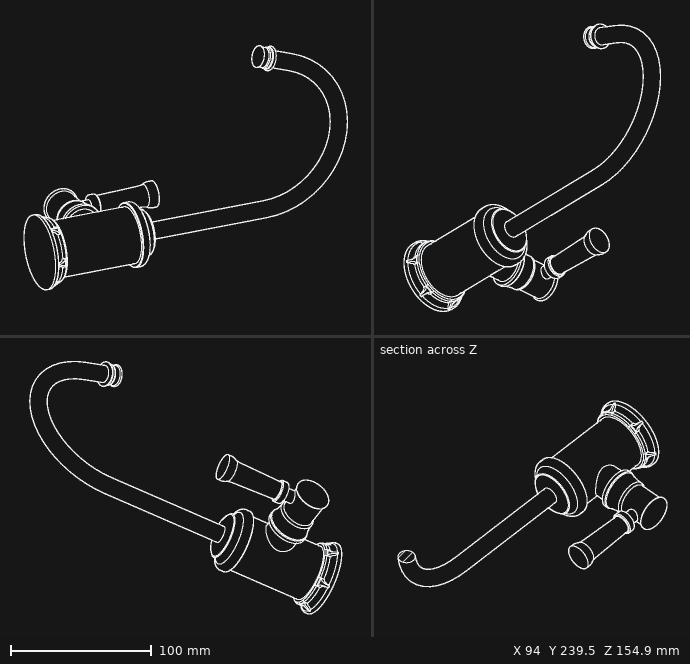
import cadquery as cq
import math


base_radius = 27.0
base_rounding = 1.0
base_thickness = 2.9
collar_top = 11.3
collar_radius = 23.5
collar_bevel = 1.2
collar_band_bottom = 7.5
collar_foot_radius = 25.9
cove_radius = 24.2
cove_top = 5.3
collar_top_radius = 22.5
body_radius = 20.5
cap_bottom = 70.0
cap_rim_radius = 23.5
cap_rim_top = 73.5
cap_rim_bevel = 0.5
cap_shoulder_radius = 19.9
cap_shoulder_height = 76.5
cap_throat_radius = 16.8
cap_throat_height = 81.6
cap_step_radius = 16.0
cap_step_height = 82.0
cap_face_radius = 12.7
cap_top = 83.8

overlap = 2.5

rib_count = 6
rib_tip_width = 1.7
rib_root_fillet = 2.5
rib_foot_inset = 0.2

tube_radius = 6.2
bend_start = 176.0
overall_depth = 239.5
bend_radius = overall_depth - tube_radius - bend_start
outlet_rise = 20.0
outlet_length = 27.8
aerator_length = 11.0
aerator_ring_radius = 8.9
aerator_neck_radius = 7.7
aerator_neck_end = 4.5
aerator_waist_radius = 7.2
aerator_lip_radius = 8.0
aerator_ring_width = 2.2
aerator_ring_rounding = 1.0
aerator_neck_slope = 0.7
aerator_waist_slope = 1.0
aerator_lip_width = 1.7

valve_height = 46.5
valve_end = 67.0
valve_neck_radius = 12.2
valve_collar_inner = 29.7
valve_collar_outer = 33.0
valve_collar_radius = 15.0
valve_collar_bevel = 0.7
taper_start_radius = 14.5
taper_end = 43.3
barrel_start = 45.2
barrel_radius = 11.7
barrel_bead_radius = 13.0
bead_width = 2.6
bead_rounding = 1.0

lever_offset = 56.3
stem_radius = 4.8
ring_radius = 8.1
ring_rounding = 1.5
ring_bevel = 0.7
ring_bottom = 64.5
ring_top = 70.1
grip_start_radius = 6.7
grip_end_radius = 7.7
grip_end = 104.0
flare_start = 107.5
flare_start_radius = 8.1
flare_top = 111.8
flare_radius = 9.5
lever_end = 114.7


def make_body():
    """Turned body: base plate, collar, cylinder and stepped cap."""
    profile = (
        cq.Workplane("XY")
        .lineTo(base_radius, 0)
        .lineTo(base_radius, base_thickness - base_rounding)
        .radiusArc((base_radius - base_rounding, base_thickness), -base_rounding)
        .lineTo(collar_foot_radius, base_thickness)
        .threePointArc((24.7, 4.0), (cove_radius, cove_top))
        .lineTo(collar_radius, collar_band_bottom)
        .lineTo(collar_radius, collar_top - collar_bevel)
        .lineTo(collar_top_radius, collar_top)
        .lineTo(body_radius, collar_top)
        .lineTo(body_radius, cap_bottom)
        .lineTo(cap_rim_radius - cap_rim_bevel, cap_bottom)
        .lineTo(cap_rim_radius, cap_bottom + cap_rim_bevel)
        .lineTo(cap_rim_radius, cap_rim_top)
        .threePointArc((22.5, 75.7), (cap_shoulder_radius, cap_shoulder_height))
        .threePointArc((17.7, 78.8), (cap_throat_radius, cap_throat_height))
        .lineTo(cap_step_radius, cap_step_height)
        .threePointArc((14.8, 83.3), (cap_face_radius, cap_top))
        .lineTo(0, cap_top)
        .close()
    )
    return profile.revolve(360, (0, 0), (0, 1))


def make_rib():
    """Sloping rib on the +X side of the collar, with filleted roots."""
    root = body_radius - overlap
    half_tip = rib_tip_width / 2
    half_root = half_tip + rib_root_fillet
    fillet_end = collar_radius + rib_root_fillet
    foot = base_radius - rib_foot_inset
    side = (
        cq.Workplane("XY")
        .moveTo(root, base_thickness / 2)
        .lineTo(foot, base_thickness / 2)
        .lineTo(foot, base_thickness)
        .lineTo(collar_top_radius, collar_top)
        .lineTo(root, collar_top)
        .close()
        .extrude(half_root, both=True)
    )
    section = (
        cq.Workplane("XZ")
        .moveTo(root, -half_root)
        .lineTo(collar_radius, -half_root)
        .radiusArc((fillet_end, -half_tip), rib_root_fillet)
        .lineTo(foot, -half_tip)
        .lineTo(foot, half_tip)
        .lineTo(fillet_end, half_tip)
        .radiusArc((collar_radius, half_root), rib_root_fillet)
        .lineTo(root, half_root)
        .close()
        .extrude(-collar_top)
    )
    return side.intersect(section)


def make_spout():
    """Tube rising from the cap, bent over and ending in a straight outlet."""
    rise = math.radians(outlet_rise)

    def on_bend(angle):
        """Point of the bend centreline, angle measured from +Z toward +Y."""
        return (bend_start + bend_radius * math.sin(angle), bend_radius * (1 + math.cos(angle)))

    bend_middle = on_bend((math.pi + rise) / 2)
    bend_end = on_bend(rise)
    heading = (-math.cos(rise), math.sin(rise))

    def on_outlet(distance):
        return tuple(p + distance * h for p, h in zip(bend_end, heading))

    aerator_start = outlet_length - aerator_length
    path = (
        cq.Workplane("YZ")
        .moveTo(cap_top - overlap, 0)
        .lineTo(bend_start, 0)
        .threePointArc(bend_middle, bend_end)
        .lineTo(*on_outlet(aerator_start + aerator_length / 2))
    )
    tube = cq.Workplane("XZ", origin=(0, cap_top - overlap, 0)).circle(tube_radius).sweep(path)

    outlet_plane = cq.Plane(
        origin=(0, *on_outlet(aerator_start)), xDir=(1, 0, 0), normal=(0, *heading)
    )
    waist_end = aerator_length - aerator_lip_width
    aerator = (
        cq.Workplane(outlet_plane.rotated((90, 0, 0)))
        .lineTo(aerator_ring_radius - aerator_ring_rounding, 0)
        .threePointArc(
            (aerator_ring_radius, aerator_ring_width / 2),
            (aerator_ring_radius - aerator_ring_rounding, aerator_ring_width),
        )
        .lineTo(aerator_neck_radius, aerator_ring_width + aerator_neck_slope)
        .lineTo(aerator_neck_radius, aerator_neck_end)
        .lineTo(aerator_waist_radius, aerator_neck_end + aerator_waist_slope)
        .lineTo(aerator_waist_radius, waist_end)
        .threePointArc(
            (aerator_lip_radius, waist_end + aerator_lip_width / 2),
            (aerator_waist_radius, aerator_length),
        )
        .lineTo(0, aerator_length)
        .close()
        .revolve(360, (0, 0), (0, 1))
    )
    return tube.union(aerator)


def make_valve():
    """Turned side valve: neck, collar, concave taper, barrel and end bead."""
    bead_start = valve_end - bead_width
    profile = (
        cq.Workplane("XY", origin=(0, valve_height, 0))
        .lineTo(0, valve_neck_radius)
        .lineTo(-valve_collar_inner, valve_neck_radius)
        .lineTo(-valve_collar_inner, valve_collar_radius)
        .lineTo(-valve_collar_outer + valve_collar_bevel, valve_collar_radius)
        .lineTo(-valve_collar_outer, taper_start_radius)
        .threePointArc((-37.8, 13.5), (-taper_end, barrel_bead_radius))
        .threePointArc((-44.8, 12.7), (-barrel_start, barrel_radius))
        .lineTo(-bead_start, barrel_radius)
        .lineTo(-bead_start, barrel_bead_radius - bead_rounding)
        .radiusArc((-bead_start - bead_rounding, barrel_bead_radius), -bead_rounding)
        .lineTo(-valve_end + bead_rounding, barrel_bead_radius)
        .radiusArc((-valve_end, barrel_bead_radius - bead_rounding), -bead_rounding)
        .lineTo(-valve_end, 0)
        .close()
    )
    return profile.revolve(360, (0, 0), (1, 0))


def make_lever():
    """Turned lever: stem, rounded ring, tapered grip and flared end."""
    profile = (
        cq.Workplane("XY", origin=(-lever_offset, 0, 0))
        .moveTo(0, valve_height)
        .lineTo(stem_radius, valve_height)
        .lineTo(stem_radius, ring_bottom)
        .lineTo(ring_radius - ring_rounding, ring_bottom)
        .radiusArc((ring_radius, ring_bottom + ring_rounding), -ring_rounding)
        .lineTo(ring_radius, ring_top - ring_bevel)
        .lineTo(ring_radius - ring_bevel, ring_top)
        .lineTo(grip_start_radius, ring_top)
        .lineTo(grip_end_radius, grip_end)
        .lineTo(flare_start_radius, flare_start)
        .threePointArc((9.0, 109.5), (flare_radius, flare_top))
        .lineTo(flare_radius, lever_end)
        .lineTo(0, lever_end)
        .close()
    )
    return profile.revolve(360, (0, 0), (0, 1))


result = make_body()
for index in range(rib_count):
    turn = index * 360 / rib_count
    result = result.union(make_rib().rotate((0, 0, 0), (0, 1, 0), turn))
for member in (make_spout(), make_valve(), make_lever()):
    result = result.union(member)